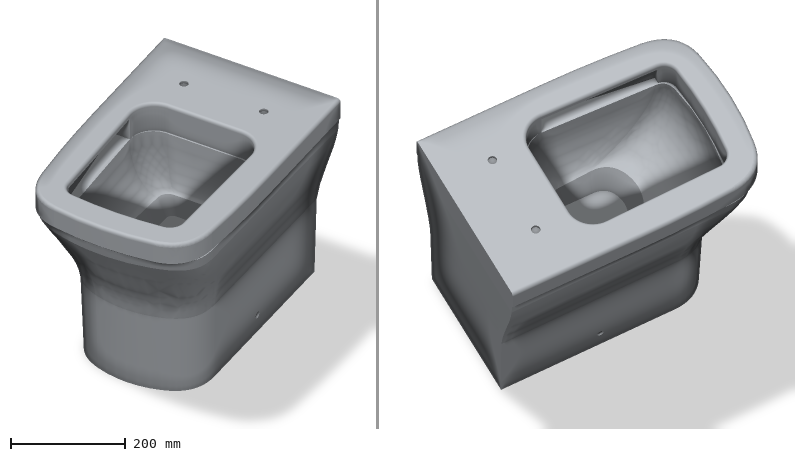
import cadquery as cq
import math

WIDTH = 357.5
LENGTH = 528.0
HEIGHT = 400.0

RIM_BOTTOM = 355.0
RIM_ROUND = 7.0
RIM_CHAMFER = 2.5
RIM_STRAIGHT = 250.5
RIM_SIDE_END = (171.0, -438.5)
RIM_CORNER_END = (100.5, -519.5)

FOOT = (0.0, 128.5, 438.0, 3.5)
WAIST = (163.5, 132.0, 443.5, 2.0)
FLARE_TOP = (332.5, 174.5, 520.0, 0.0)
BODY_TOP = (RIM_BOTTOM, 176.0, 525.5, 0.0)
FLARE = [
    WAIST,
    (214.0, 142.5, 455.0, 1.5),
    (253.0, 154.0, 473.0, 1.0),
    FLARE_TOP,
]
BODY_CORNER_LENGTH = 79.0
BODY_CORNER_SHARE = 0.5
BODY_BULGE = 10.5
BODY_TAPER = 0.97
FOOT_RISE = 3.5

OPENING_BACK = 160.5
OPENING_FRONT = 479.5
OPENING_HALF_BACK = 128.5
OPENING_HALF_FRONT = 120.5
OPENING_BULGE = 8.5
OPENING_BACK_RADIUS = 47.5
OPENING_FRONT_RADIUS = 26.5
LIP_ROUND = 6.5
LEDGE_Z = 341.0

BOWL_STEPS = 6
BOWL_TURN = 85.0
SUMP_TOP = 237.5
SUMP_FLOOR = 200.5

BOWL_MOUTH = [170.0, 472.0, 121.0, 113.0, 47.5, 26.5, 8.0]
SUMP_MOUTH = [199.5, 343.0, 63.0, 66.5, 21.0, 58.0, 0.5]
SUMP_BASE = [209.5, 316.5, 45.0, 45.0, 13.0, 39.5, 0.3]

RECESS_TOP = 386.5
RECESS_INNER_X = 95.0
RECESS_OUTER_EDGE = [(155.0, -216.5), (138.5, -348.5), (127.0, -443.5)]

SEAT_HOLE_D = 16.5
SEAT_HOLE_X = 80.5
SEAT_HOLE_Y = -97.5
SEAT_HOLE_DEPTH = 5.5
FLOOR_HOLE_D = 12.5
FLOOR_HOLE_Y = -201.0
FLOOR_HOLE_Z = 39.0
FLOOR_HOLE_END_X = 123.0


def corner_middle(start, end, corner):
    """Middle of the quarter ellipse from start to end that rounds off the given corner."""
    return tuple(
        c + (s + e - 2 * c) * (1 - math.sqrt(0.5)) for s, e, c in zip(start, end, corner)
    )


def mirrored(point):
    return (-point[0], point[1])


def direction(start, end):
    length = math.dist(start, end)
    return ((end[0] - start[0]) / length, (end[1] - start[1]) / length)


def front_half(outline, side, side_direction, tip, reach):
    """Continue from the right side smoothly round the front to the left side."""
    front_angle = 2 * math.atan2(reach + tip[1], tip[0])
    tip_direction = (-math.cos(front_angle), -math.sin(front_angle))
    return (
        outline.spline([tip], [side_direction, tip_direction], includeCurrent=True)
        .threePointArc((0, -reach), mirrored(tip))
        .spline(
            [mirrored(side)],
            [(tip_direction[0], -tip_direction[1]), (side_direction[0], -side_direction[1])],
            includeCurrent=True,
        )
    )


def body_outline(height, half, reach, setback):
    tip_y = BODY_BULGE - reach
    side = (half * BODY_TAPER, tip_y + BODY_CORNER_LENGTH)
    tip = (half * (1 - BODY_CORNER_SHARE), tip_y)
    outline = (
        cq.Workplane("XY", origin=(0, 0, height))
        .moveTo(-half, -setback)
        .lineTo(half, -setback)
        .lineTo(*side)
    )
    return front_half(outline, side, direction((half, -setback), side), tip, reach).close()


def basin_outline(height, size):
    """Level outline of the bowl or sump; its size is described by one of the basin size lists."""
    back, front, half_back, half_front, back_corner, front_corner, bulge = size
    back_tip = (half_back - back_corner, -back)
    back_side = (half_back, -back - back_corner)
    back_middle = corner_middle(back_tip, back_side, (half_back, -back))
    tip = (half_front - front_corner, bulge - front)
    side = (half_front, bulge - front + front_corner)
    outline = (
        cq.Workplane("XY", origin=(0, 0, height))
        .moveTo(*mirrored(back_side))
        .threePointArc(mirrored(back_middle), mirrored(back_tip))
        .lineTo(*back_tip)
        .threePointArc(back_middle, back_side)
        .lineTo(*side)
    )
    return front_half(outline, side, direction(back_side, side), tip, front).close()


def loft(outlines, ruled=False):
    wires = [outline.val() for outline in outlines]
    return cq.Workplane(cq.Solid.makeLoft(wires, ruled))


def rim_slab():
    shoulder = (WIDTH / 2, -RIM_STRAIGHT)
    narrowing = shoulder[0] - RIM_SIDE_END[0]
    side_middle = (shoulder[0] - narrowing / 4, (shoulder[1] + RIM_SIDE_END[1]) / 2)
    side_angle = 2 * math.atan2(narrowing, shoulder[1] - RIM_SIDE_END[1])
    side_direction = (-math.sin(side_angle), -math.cos(side_angle))
    slab = (
        cq.Workplane("XY", origin=(0, 0, RIM_BOTTOM))
        .moveTo(-WIDTH / 2, 0)
        .lineTo(WIDTH / 2, 0)
        .lineTo(*shoulder)
        .threePointArc(side_middle, RIM_SIDE_END)
    )
    slab = front_half(slab, RIM_SIDE_END, side_direction, RIM_CORNER_END, LENGTH)
    slab = slab.threePointArc(mirrored(side_middle), mirrored(shoulder)).close()
    slab = slab.extrude(HEIGHT - RIM_BOTTOM)
    slab = slab.faces("<Z").edges("not(>Y)").chamfer(RIM_CHAMFER)
    return slab.faces(">Z").edges("not(>Y)").fillet(RIM_ROUND)


def body():
    foot = loft([body_outline(*FOOT), body_outline(*WAIST)], ruled=True)
    flare = loft([body_outline(*level) for level in FLARE])
    collar = loft([body_outline(*FLARE_TOP), body_outline(*BODY_TOP)], ruled=True)
    return foot.union(flare).union(collar)


def underside_slope():
    return (
        cq.Workplane("YZ", origin=(-WIDTH / 2, 0, 0))
        .lineTo(0, FOOT_RISE)
        .lineTo(-FOOT[2], 0)
        .close()
        .extrude(WIDTH)
    )


def rim_opening():
    """Straight throat of the opening, down to the ledge."""
    half_back = OPENING_HALF_BACK - LIP_ROUND
    front_corner = (OPENING_HALF_FRONT - LIP_ROUND, OPENING_BULGE + LIP_ROUND - OPENING_FRONT)
    opening = (
        cq.Workplane("XY", origin=(0, 0, LEDGE_Z))
        .moveTo(-half_back, -OPENING_BACK - LIP_ROUND)
        .lineTo(half_back, -OPENING_BACK - LIP_ROUND)
        .lineTo(*front_corner)
        .threePointArc((0, LIP_ROUND - OPENING_FRONT), mirrored(front_corner))
        .close()
        .extrude(HEIGHT - LEDGE_Z)
    )
    opening = opening.edges("|Z and >Y").fillet(OPENING_BACK_RADIUS)
    return opening.edges("|Z").edges("<Y").fillet(OPENING_FRONT_RADIUS)


def bowl():
    """Curve inwards from a steep wall at the ledge to a shallow floor at the sump."""
    turn = math.radians(BOWL_TURN)
    outlines = []
    for step in range(BOWL_STEPS + 1):
        angle = turn * step / BOWL_STEPS
        inward = (1 - math.cos(angle)) / (1 - math.cos(turn))
        drop = math.sin(angle) / math.sin(turn)
        size = [upper + (lower - upper) * inward for upper, lower in zip(BOWL_MOUTH, SUMP_MOUTH)]
        outlines.append(basin_outline(LEDGE_Z + (SUMP_TOP - LEDGE_Z) * drop, size))
    return loft(outlines)


def sump():
    floor = basin_outline(SUMP_FLOOR, SUMP_BASE)
    return loft([floor, basin_outline(SUMP_TOP, SUMP_MOUTH)], ruled=True)


def flushing_recesses():
    inner_edge = [(RECESS_INNER_X, y) for _, y in reversed(RECESS_OUTER_EDGE)]
    right = (
        cq.Workplane("XY", origin=(0, 0, LEDGE_Z))
        .polyline(RECESS_OUTER_EDGE + [inner_edge[0], inner_edge[-1]])
        .close()
        .extrude(RECESS_TOP - LEDGE_Z)
    )
    return right.union(right.mirror("YZ"))


def seat_holes():
    return (
        cq.Workplane("XY", origin=(0, SEAT_HOLE_Y, HEIGHT))
        .pushPoints([(-SEAT_HOLE_X, 0), (SEAT_HOLE_X, 0)])
        .circle(SEAT_HOLE_D / 2)
        .extrude(-SEAT_HOLE_DEPTH)
    )


def floor_holes():
    """Blind holes in both sides of the foot."""
    across = (
        cq.Workplane("YZ", origin=(-WIDTH / 2, 0, 0))
        .center(FLOOR_HOLE_Y, FLOOR_HOLE_Z)
        .circle(FLOOR_HOLE_D / 2)
        .extrude(WIDTH)
    )
    core = cq.Workplane("XY").box(2 * FLOOR_HOLE_END_X, 2 * LENGTH, HEIGHT)
    return across.cut(core)


def round_lip(solid):
    lip_edges = solid.faces(">Z").val().innerWires()[0].Edges()
    return solid.newObject(lip_edges).fillet(LIP_ROUND)


pan = rim_slab().union(body()).cut(underside_slope())
pan = round_lip(pan.cut(rim_opening()))
pan = pan.cut(bowl()).cut(sump()).cut(flushing_recesses())
result = pan.cut(seat_holes()).cut(floor_holes())